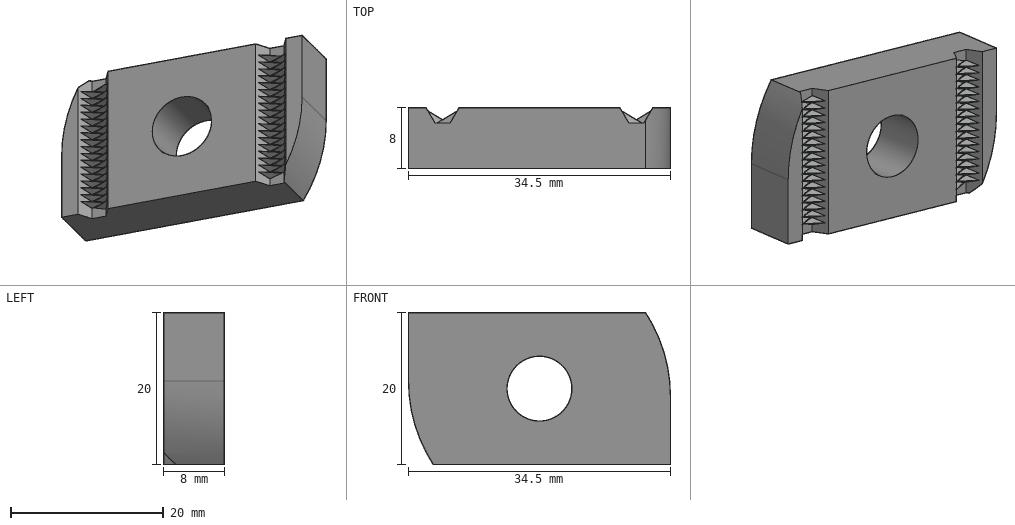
import cadquery as cq
import math

width = 34.5
height = 20.0
thickness = 8.0
end_radius = 20.0
arc_start = 1.0
hole_diameter = 8.5

groove_offset = 12.75
groove_depth = 2.0
groove_floor_width = 2.0
groove_wall_angle = 60.0

tooth_pitch = 1.0
plain_end = 1.0
tooth_top_depth = 0.4
tooth_tip_gap = 0.3

half_height = height / 2
back = thickness / 2
floor_y = back - groove_depth
floor_half = groove_floor_width / 2


def wall_offset(depth):
    """Distance from the groove centre to its wall at a depth below the +Y face."""
    return floor_half + (groove_depth - depth) / math.tan(math.radians(groove_wall_angle))


def make_block():
    half_width = width / 2
    top_angle = math.asin((half_height + arc_start) / end_radius)
    arc_center_x = half_width - end_radius

    def arc_point(angle):
        return (
            arc_center_x + end_radius * math.cos(angle),
            end_radius * math.sin(angle) - arc_start,
        )

    corner_x, _ = arc_point(top_angle)
    mid_x, mid_z = arc_point(top_angle / 2)
    return (
        cq.Workplane("XZ")
        .moveTo(-half_width, half_height)
        .lineTo(corner_x, half_height)
        .threePointArc((mid_x, mid_z), (half_width, -arc_start))
        .lineTo(half_width, -half_height)
        .lineTo(-corner_x, -half_height)
        .threePointArc((-mid_x, -mid_z), (-half_width, arc_start))
        .close()
        .circle(hole_diameter / 2)
        .extrude(back, both=True)
    )


def make_groove(center_x):
    top_half = wall_offset(0)
    return (
        cq.Workplane("XY")
        .polyline([
            (center_x - top_half, back),
            (center_x - floor_half, floor_y),
            (center_x + floor_half, floor_y),
            (center_x + top_half, back),
        ])
        .close()
        .extrude(half_height, both=True)
    )


def make_tooth(center_x, side, z):
    """Four-faced tooth on the wall at the given side (+1 or -1) of a groove."""
    foot_x = center_x + side * floor_half
    peak = (center_x + side * wall_offset(tooth_top_depth), back - tooth_top_depth, z)
    tip = (center_x - side * (floor_half - tooth_tip_gap), floor_y, z)
    foot_low = (foot_x, floor_y, z - tooth_pitch / 2)
    foot_high = (foot_x, floor_y, z + tooth_pitch / 2)
    triangles = [
        (peak, tip, foot_low),
        (peak, tip, foot_high),
        (peak, foot_low, foot_high),
        (tip, foot_low, foot_high),
    ]
    outlines = [
        cq.Wire.makePolygon([cq.Vector(*corner) for corner in triangle], close=True)
        for triangle in triangles
    ]
    faces = [cq.Face.makeFromWires(outline) for outline in outlines]
    return cq.Solid.makeSolid(cq.Shell.makeShell(faces))


def make_tooth_row(center_x, side, count):
    """Teeth at the tooth pitch, centred on the middle of the block."""
    first_z = -(count - 1) / 2 * tooth_pitch
    return [make_tooth(center_x, side, first_z + index * tooth_pitch) for index in range(count)]


inner_count = round((height - 2 * plain_end) / tooth_pitch)
outer_count = inner_count - 1

body = make_block()
teeth = []
for direction in (-1, 1):
    center_x = direction * groove_offset
    body = body.cut(make_groove(center_x))
    teeth += make_tooth_row(center_x, -direction, inner_count)
    teeth += make_tooth_row(center_x, direction, outer_count)

result = cq.Workplane(body.val().fuse(*teeth).Solids()[0])